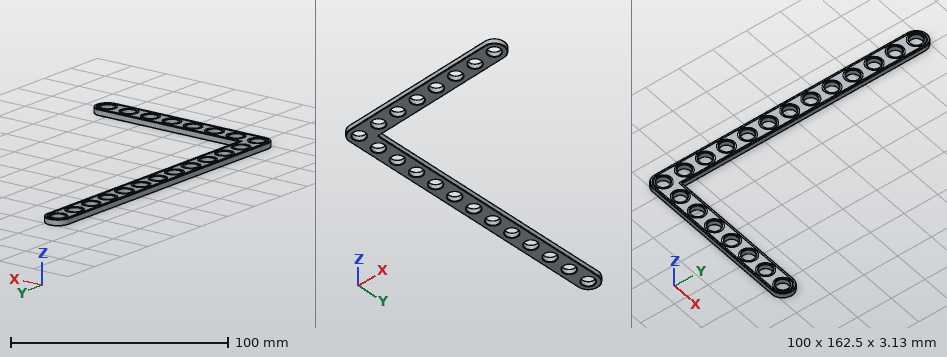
import cadquery as cq

longest_side = 162.5
long_arm_holes = 13
short_arm_holes = 8
hole_diameter = 7.0
rim_width = 1.1
recess_depth = 0.2
edge_chamfer = 0.31

pitch = longest_side / long_arm_holes
arm_width = pitch
thickness = pitch / 4

ring_diameter = hole_diameter + 2 * rim_width
recess_width = arm_width - 2 * rim_width

hole_centers = [(0, row * pitch) for row in range(long_arm_holes)]
hole_centers += [(column * pitch, 0) for column in range(1, short_arm_holes)]


def angle_plate(width, height):
    """L-shaped plate with rounded ends, centred on the two lines of holes."""
    long_run = (long_arm_holes - 1) * pitch
    short_run = (short_arm_holes - 1) * pitch
    base = cq.Workplane("XY")
    long_arm = base.center(0, long_run / 2).slot2D(long_run + width, width, 90).extrude(height)
    short_arm = base.center(short_run / 2, 0).slot2D(short_run + width, width).extrude(height)
    return long_arm.union(short_arm).clean()


def cylinders(diameter, height):
    """One upright cylinder at every hole position."""
    return cq.Workplane("XY").pushPoints(hole_centers).circle(diameter / 2).extrude(height)


def top_recess():
    """Shallow pocket that leaves a rim along the outline and a ring around each hole."""
    pocket = angle_plate(recess_width, recess_depth).cut(cylinders(ring_diameter, recess_depth))
    return pocket.translate((0, 0, thickness - recess_depth))


plate = angle_plate(arm_width, thickness).cut(cylinders(hole_diameter, thickness))
plate = plate.faces("<Z or >Z").chamfer(edge_chamfer)

result = plate.cut(top_recess())